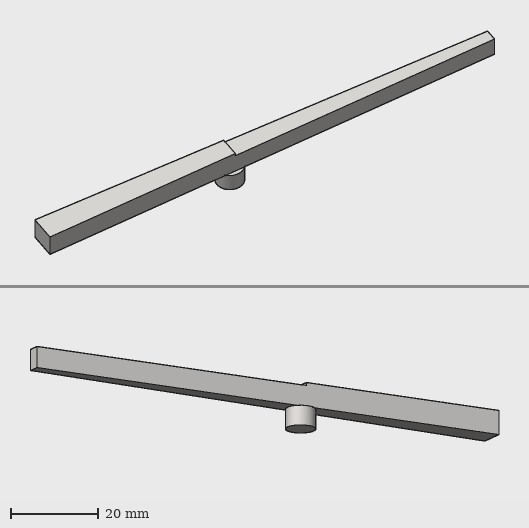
import cadquery as cq

BAR_LENGTH = 120.0
FRONT_LENGTH = 50.0
FRONT_Y = -FRONT_LENGTH
BACK_Y = FRONT_Y + BAR_LENGTH

SIDE_X = 2.4
FRONT_WIDTH = 6.5
BACK_WIDTH = 3.0
FRONT_HEIGHT = 5.8
STEP_DROP = 0.7
BACK_HEIGHT = FRONT_HEIGHT - STEP_DROP

PIN_DIAMETER = 7.0
PIN_HEIGHT = 4.7


def make_bar():
    """Tapered bar whose top steps down above the pin axis."""
    blank = (
        cq.Workplane("XY")
        .polyline([
            (SIDE_X, FRONT_Y),
            (SIDE_X, BACK_Y),
            (SIDE_X - BACK_WIDTH, BACK_Y),
            (SIDE_X - FRONT_WIDTH, FRONT_Y),
        ])
        .close()
        .extrude(FRONT_HEIGHT)
    )
    step_cut = (
        cq.Workplane("XY", origin=(SIDE_X - FRONT_WIDTH, 0, BACK_HEIGHT))
        .rect(FRONT_WIDTH, BACK_Y, centered=False)
        .extrude(STEP_DROP)
    )
    return blank.cut(step_cut)


def make_pin():
    """Round pin hanging from the underside of the bar."""
    return cq.Workplane("XY").circle(PIN_DIAMETER / 2).extrude(-PIN_HEIGHT)


bar = make_bar()
pin = make_pin()
result = cq.Compound.makeCompound([bar.val(), pin.val()])